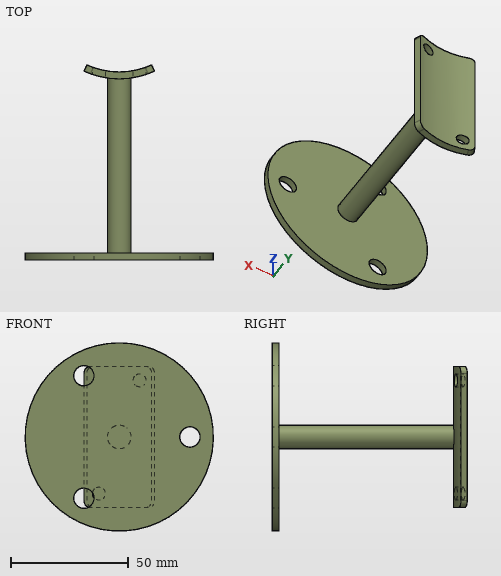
import cadquery as cq
import math

overall_depth = 82.9
sheet_thickness = 3.0

flange_diameter = 80.0
flange_hole_diameter = 8.55
flange_hole_circle_radius = 30.0
flange_hole_count = 3

stem_diameter = 10.0

saddle_width = 30.0
saddle_height = 60.05
saddle_outer_radius = 36.0
saddle_inner_radius = saddle_outer_radius - sheet_thickness
saddle_corner_radius = 3.0
saddle_hole_diameter = 5.5
saddle_hole_x = 8.6
saddle_hole_z = 24.05

saddle_half_angle = math.asin(saddle_width / 2 / saddle_outer_radius)
saddle_axis_y = overall_depth + saddle_inner_radius * math.cos(saddle_half_angle)


def saddle_point(radius, angle):
    """XY point on the bend, with the angle measured from -Y towards +X."""
    return (radius * math.sin(angle), saddle_axis_y - radius * math.cos(angle))


def rod_along_y(diameter, start, end, x=0.0, z=0.0):
    """Cylinder parallel to Y between two Y positions."""
    base = cq.Vector(x, start, z)
    return cq.Workplane(cq.Solid.makeCylinder(diameter / 2, end - start, base, cq.Vector(0, 1, 0)))


def make_flange():
    flange = rod_along_y(flange_diameter, 0, sheet_thickness)
    for index in range(flange_hole_count):
        angle = 2 * math.pi * index / flange_hole_count
        x = flange_hole_circle_radius * math.cos(angle)
        z = flange_hole_circle_radius * math.sin(angle)
        flange = flange.cut(rod_along_y(flange_hole_diameter, 0, sheet_thickness, x, z))
    return flange


def make_stem():
    saddle_mid_y = saddle_axis_y - (saddle_inner_radius + saddle_outer_radius) / 2
    return rod_along_y(stem_diameter, 0, saddle_mid_y)


def make_saddle():
    saddle = (
        cq.Workplane("XY")
        .workplane(offset=-saddle_height / 2)
        .moveTo(*saddle_point(saddle_outer_radius, -saddle_half_angle))
        .threePointArc(
            saddle_point(saddle_outer_radius, 0),
            saddle_point(saddle_outer_radius, saddle_half_angle),
        )
        .lineTo(*saddle_point(saddle_inner_radius, saddle_half_angle))
        .threePointArc(
            saddle_point(saddle_inner_radius, 0),
            saddle_point(saddle_inner_radius, -saddle_half_angle),
        )
        .close()
        .extrude(saddle_height)
    )
    corner_edges = saddle.faces("<Z or >Z").edges("%LINE")
    saddle = saddle.newObject(corner_edges.vals()).fillet(saddle_corner_radius)
    for side in (-1, 1):
        hole = rod_along_y(
            saddle_hole_diameter, sheet_thickness, overall_depth, side * saddle_hole_x, side * saddle_hole_z
        )
        saddle = saddle.cut(hole)
    return saddle


result = make_flange().union(make_stem()).union(make_saddle())